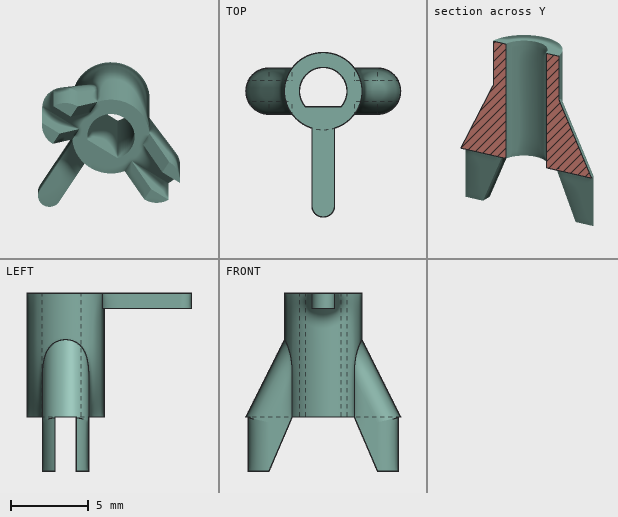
import cadquery as cq
import math

tube_radius = 2.5
tube_height = 8.0
bore_radius = 1.525
bore_flat_offset = 1.0

arm_width = 1.48
arm_thickness = 1.0
arm_straight_length = 5.0

leg_radius = 1.5
foot_axis_x = 3.5
foot_depth = 3.5
slope_rise = 2.0
slope_run = 1.0
foot_slot_width = 1.35

lean_angle = math.atan2(slope_run, slope_rise)
mitre_slope = math.tan(lean_angle / 2)
knee_z = -leg_radius * mitre_slope
limb_top_z = knee_z + foot_axis_x * slope_rise / slope_run
limb_length = math.hypot(foot_axis_x, limb_top_z - knee_z)
inner_edge_x = math.sqrt(tube_radius**2 - leg_radius**2)

knee = (foot_axis_x, knee_z)
limb_top = (0, limb_top_z)
foot_bottom = (foot_axis_x, -foot_depth)

trim_reach = 2 * leg_radius
knee_outside = (foot_axis_x + trim_reach, knee_z + trim_reach * mitre_slope)


def leg_plate(points):
    """Extrude an XZ outline across the full leg width, centred on y = 0."""
    return cq.Workplane("XZ").polyline(points).close().extrude(leg_radius, both=True)


def make_tube():
    return cq.Workplane("XY").circle(tube_radius).extrude(tube_height)


def make_bore():
    """D-shaped bore with its flat on the arm side."""
    size = 2 * bore_radius
    half_space = (
        cq.Workplane("XY")
        .rect(size, bore_radius + bore_flat_offset)
        .extrude(tube_height)
        .translate((0, (bore_radius - bore_flat_offset) / 2, 0))
    )
    return cq.Workplane("XY").circle(bore_radius).extrude(tube_height).intersect(half_space)


def make_arm():
    half_width = arm_width / 2
    wall_y = math.sqrt(tube_radius**2 - half_width**2)
    straight_end_y = -(wall_y + arm_straight_length)
    root_y = -(bore_flat_offset + tube_radius) / 2
    return (
        cq.Workplane("XY", origin=(0, 0, tube_height - arm_thickness))
        .moveTo(-half_width, root_y)
        .lineTo(-half_width, straight_end_y)
        .threePointArc((0, straight_end_y - half_width), (half_width, straight_end_y))
        .lineTo(half_width, root_y)
        .close()
        .extrude(arm_thickness)
    )


def make_foot():
    """Outer half of the vertical round foot, cut off along the mitre."""
    foot_outside = (foot_axis_x + trim_reach, -foot_depth)
    outer_half = leg_plate([foot_bottom, foot_outside, knee_outside, knee])
    return (
        cq.Workplane("XY", origin=(foot_axis_x, 0, -foot_depth))
        .circle(leg_radius)
        .extrude(foot_depth + leg_radius)
        .intersect(outer_half)
    )


def make_limb():
    """Outer half of the sloped round limb, from the mitre to the tube axis."""
    limb_top_outside = (
        trim_reach * math.cos(lean_angle),
        limb_top_z + trim_reach * math.sin(lean_angle),
    )
    outer_half = leg_plate([knee, knee_outside, limb_top_outside, limb_top])
    down_the_limb = (math.sin(lean_angle), 0, -math.cos(lean_angle))
    limb_plane = cq.Plane(origin=(0, 0, limb_top_z), xDir=(0, 1, 0), normal=down_the_limb)
    return (
        cq.Workplane(limb_plane)
        .circle(leg_radius)
        .extrude(limb_length + leg_radius)
        .intersect(outer_half)
    )


def make_leg():
    """Leg on the +X side: round outside, flat-sided web towards the tube."""
    web = leg_plate([foot_bottom, knee, limb_top, (0, 0), (inner_edge_x, 0)])
    return web.union(make_foot()).union(make_limb())


def make_foot_slot():
    """Slot along X that splits both feet into prongs below the tube."""
    slot_length = 2 * (foot_axis_x + trim_reach)
    return (
        cq.Workplane("XY", origin=(0, 0, -foot_depth))
        .rect(slot_length, foot_slot_width)
        .extrude(foot_depth)
    )


right_leg = make_leg()
left_leg = right_leg.mirror("YZ")

body = make_tube().union(make_arm()).union(right_leg).union(left_leg)
result = body.cut(make_bore()).cut(make_foot_slot())